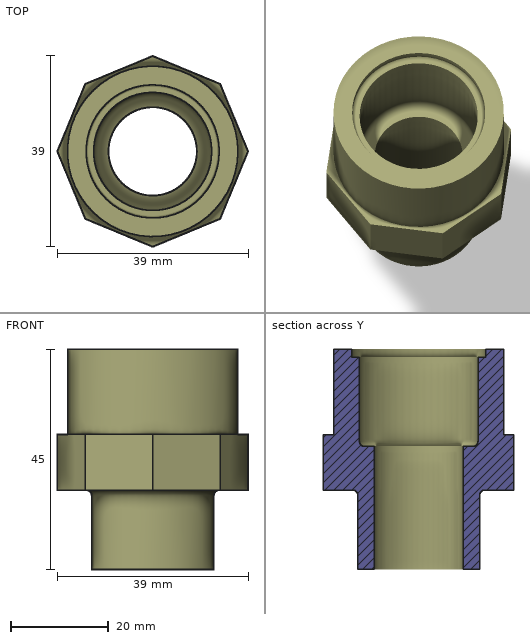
import cadquery as cq

collar_sides = 8
collar_corner_diameter = 38.95
collar_bottom = 16.2
collar_top = 27.65

total_height = 45.0
spigot_diameter = 25.0
socket_diameter = 34.8
neck_fillet = 1.0
edge_search_margin = 0.05

bore_diameter = 18.0
socket_bore_diameter = 24.1
socket_floor = 25.2
floor_fillet = 1.0
mouth_diameter = 27.2
mouth_depth = 1.6


def cylinder(diameter, bottom, top):
    """Vertical cylinder between two heights."""
    return cq.Workplane("XY").workplane(offset=bottom).circle(diameter / 2).extrude(top - bottom)


def make_collar():
    return (
        cq.Workplane("XY")
        .workplane(offset=collar_bottom)
        .polygon(collar_sides, collar_corner_diameter)
        .extrude(collar_top - collar_bottom)
    )


def make_body():
    spigot = cylinder(spigot_diameter, 0, collar_bottom)
    socket = cylinder(socket_diameter, collar_top, total_height)
    body = make_collar().union(spigot).union(socket)
    neck_edge = cq.selectors.BoxSelector(
        (-spigot_diameter, -spigot_diameter, collar_bottom - edge_search_margin),
        (spigot_diameter, spigot_diameter, collar_bottom + edge_search_margin),
    )
    return body.edges(neck_edge).edges("%CIRCLE").fillet(neck_fillet)


def make_bore():
    through_bore = cylinder(bore_diameter, 0, total_height)
    socket_bore = cylinder(socket_bore_diameter, socket_floor, total_height)
    socket_bore = socket_bore.faces("<Z").edges().fillet(floor_fillet)
    mouth = cylinder(mouth_diameter, total_height - mouth_depth, total_height)
    return through_bore.union(socket_bore).union(mouth)


result = make_body().cut(make_bore())